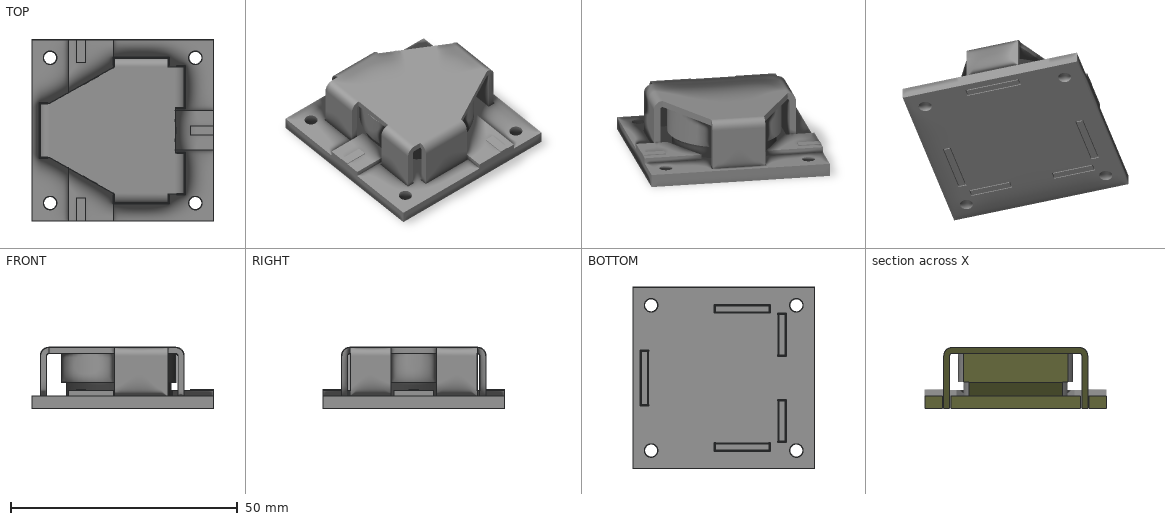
import cadquery as cq
import math

PLATE_SIDE = 40.0
PLATE_THICKNESS = 2.8
SCREW_HOLE_DIAMETER = 2.9
SCREW_HOLE_PITCH = 32.0

OVERALL_HEIGHT = 13.5
SHEET_THICKNESS = 1.4
BEND_OUTER_RADIUS = 1.9
COVER_LEFT_X = -16.25
COVER_RIGHT_X = 11.6
COVER_HALF_WIDTH = 14.0
WIDE_LEG_WIDTH = 11.85
SIDE_LEG_START_X = -1.85
RIGHT_LEG_WIDTH = 9.0
SLOT_CLEARANCE = 0.2

DISC_CENTER_X = -0.9
UPPER_DISC_DIAMETER = 25.3
LOWER_DISC_DIAMETER = 23.0
LOWER_DISC_HEIGHT = 3.0

PAD_THICKNESS = 1.2
PAD_DISC_GAP = 0.3
SIDE_PAD_LEFT_X = -12.0
SIDE_PAD_RIGHT_X = SIDE_LEG_START_X - SLOT_CLEARANCE
SIDE_PAD_SLANT = math.radians(30)
RIGHT_PAD_WIDTH = 8.7
STRIP_LENGTH = 5.1
STRIP_WIDTH = 2.0
STRIP_THICKNESS = 0.15
SIDE_STRIP_X = -9.2

HALF_SIDE = PLATE_SIDE / 2
PAD_TOP_Z = PLATE_THICKNESS + PAD_THICKNESS
UPPER_DISC_Z = PLATE_THICKNESS + LOWER_DISC_HEIGHT
SHEET_UNDERSIDE_Z = OVERALL_HEIGHT - SHEET_THICKNESS
STRIP_CENTER = HALF_SIDE - STRIP_LENGTH / 2
PAD_DISTANCE = LOWER_DISC_DIAMETER / 2 + PAD_DISC_GAP

SIDE_LEG_X = SIDE_LEG_START_X + WIDE_LEG_WIDTH / 2
RIGHT_LEG_Y = COVER_HALF_WIDTH - RIGHT_LEG_WIDTH / 2
LEGS = [
    (COVER_LEFT_X, 0, 180, WIDE_LEG_WIDTH),
    (SIDE_LEG_X, COVER_HALF_WIDTH, 90, WIDE_LEG_WIDTH),
    (SIDE_LEG_X, -COVER_HALF_WIDTH, 270, WIDE_LEG_WIDTH),
    (COVER_RIGHT_X, RIGHT_LEG_Y, 0, RIGHT_LEG_WIDTH),
    (COVER_RIGHT_X, -RIGHT_LEG_Y, 0, RIGHT_LEG_WIDTH),
]


def place_at_leg(shape, x, y, direction):
    """Turn a shape built along +X from the origin onto a leg's bend line."""
    return shape.rotate((0, 0, 0), (0, 0, 1), direction).translate((x, y, 0))


def make_leg(width):
    """A quarter bend and a straight leg that ends flush with the plate underside."""
    bend_z = OVERALL_HEIGHT - BEND_OUTER_RADIUS
    inner_radius = BEND_OUTER_RADIUS - SHEET_THICKNESS
    diagonal = math.sqrt(0.5)
    return (
        cq.Workplane("XZ")
        .moveTo(0, OVERALL_HEIGHT)
        .threePointArc(
            (BEND_OUTER_RADIUS * diagonal, bend_z + BEND_OUTER_RADIUS * diagonal),
            (BEND_OUTER_RADIUS, bend_z),
        )
        .lineTo(BEND_OUTER_RADIUS, 0)
        .lineTo(inner_radius, 0)
        .lineTo(inner_radius, bend_z)
        .threePointArc(
            (inner_radius * diagonal, bend_z + inner_radius * diagonal),
            (0, SHEET_UNDERSIDE_Z),
        )
        .close()
        .extrude(width / 2, both=True)
    )


def make_leg_slot(width):
    """Cutter for the through slot that clears a leg on all four sides."""
    slot_center = BEND_OUTER_RADIUS - SHEET_THICKNESS / 2
    return (
        cq.Workplane("XY")
        .center(slot_center, 0)
        .rect(SHEET_THICKNESS + 2 * SLOT_CLEARANCE, width + 2 * SLOT_CLEARANCE)
        .extrude(PLATE_THICKNESS)
    )


def make_base_plate():
    plate = (
        cq.Workplane("XY")
        .rect(PLATE_SIDE, PLATE_SIDE)
        .extrude(PLATE_THICKNESS)
        .faces(">Z")
        .workplane()
        .rect(SCREW_HOLE_PITCH, SCREW_HOLE_PITCH, forConstruction=True)
        .vertices()
        .hole(SCREW_HOLE_DIAMETER)
    )
    for x, y, direction, width in LEGS:
        plate = plate.cut(place_at_leg(make_leg_slot(width), x, y, direction))
    return plate


def make_cover():
    cover = (
        cq.Workplane("XY")
        .workplane(offset=SHEET_UNDERSIDE_Z)
        .polyline([
            (COVER_LEFT_X, -WIDE_LEG_WIDTH / 2),
            (SIDE_LEG_START_X, -COVER_HALF_WIDTH),
            (COVER_RIGHT_X, -COVER_HALF_WIDTH),
            (COVER_RIGHT_X, COVER_HALF_WIDTH),
            (SIDE_LEG_START_X, COVER_HALF_WIDTH),
            (COVER_LEFT_X, WIDE_LEG_WIDTH / 2),
        ])
        .close()
        .extrude(SHEET_THICKNESS)
    )
    for x, y, direction, width in LEGS:
        cover = cover.union(place_at_leg(make_leg(width), x, y, direction))
    return cover


def make_disc(diameter, bottom_z, top_z):
    return (
        cq.Workplane("XY", origin=(DISC_CENTER_X, 0, bottom_z))
        .circle(diameter / 2)
        .extrude(top_z - bottom_z)
    )


def slant_y(x):
    """Y of the +Y side pad's slanted edge, which keeps PAD_DISTANCE from the disc axis."""
    axis_offset = x - DISC_CENTER_X
    return PAD_DISTANCE / math.cos(SIDE_PAD_SLANT) + axis_offset * math.tan(SIDE_PAD_SLANT)


def make_side_pad():
    """The pad at the +Y edge of the plate."""
    return (
        cq.Workplane("XY")
        .workplane(offset=PLATE_THICKNESS)
        .polyline([
            (SIDE_PAD_LEFT_X, slant_y(SIDE_PAD_LEFT_X)),
            (SIDE_PAD_RIGHT_X, slant_y(SIDE_PAD_RIGHT_X)),
            (SIDE_PAD_RIGHT_X, HALF_SIDE),
            (SIDE_PAD_LEFT_X, HALF_SIDE),
        ])
        .close()
        .extrude(PAD_THICKNESS)
    )


def make_block(length_x, length_y, height, center_x, center_y, bottom_z):
    return (
        cq.Workplane("XY", origin=(center_x, center_y, bottom_z))
        .rect(length_x, length_y)
        .extrude(height)
    )


def make_right_pad():
    inner_x = DISC_CENTER_X + PAD_DISTANCE
    return make_block(
        HALF_SIDE - inner_x, RIGHT_PAD_WIDTH, PAD_THICKNESS,
        (HALF_SIDE + inner_x) / 2, 0, PLATE_THICKNESS,
    )


def make_side_strip():
    """The contact strip on the pad at the +Y edge."""
    return make_block(STRIP_WIDTH, STRIP_LENGTH, STRIP_THICKNESS, SIDE_STRIP_X, STRIP_CENTER, PAD_TOP_Z)


def make_right_strip():
    return make_block(STRIP_LENGTH, STRIP_WIDTH, STRIP_THICKNESS, STRIP_CENTER, 0, PAD_TOP_Z)


base_plate = make_base_plate()
cover = make_cover()
lower_disc = make_disc(LOWER_DISC_DIAMETER, PLATE_THICKNESS, UPPER_DISC_Z)
upper_disc = make_disc(UPPER_DISC_DIAMETER, UPPER_DISC_Z, SHEET_UNDERSIDE_Z)

terminal_pads = [make_right_pad()]
contact_strips = [make_right_strip()]
for is_mirrored in (False, True):
    side_pad = make_side_pad()
    side_strip = make_side_strip()
    if is_mirrored:
        side_pad = side_pad.mirror("XZ")
        side_strip = side_strip.mirror("XZ")
    terminal_pads.append(side_pad)
    contact_strips.append(side_strip)

result = cq.Compound.makeCompound([
    base_plate.val(),
    cover.val(),
    lower_disc.val(),
    upper_disc.val(),
    *[pad.val() for pad in terminal_pads],
    *[strip.val() for strip in contact_strips],
])